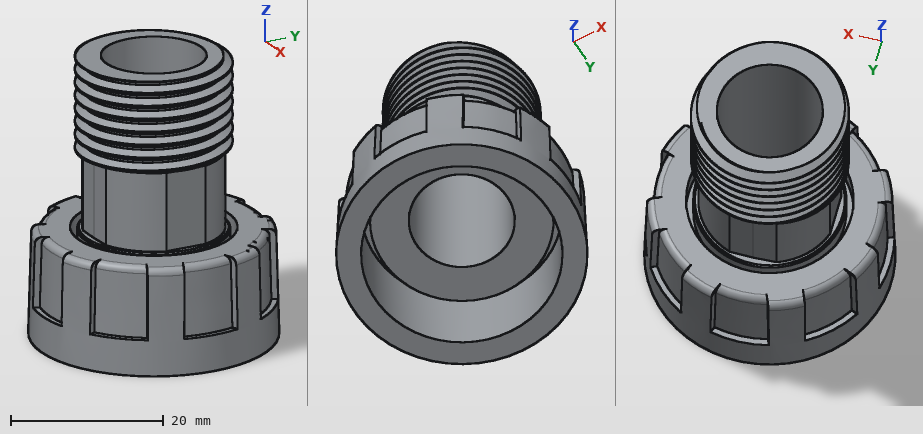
import cadquery as cq
import math

NUT_DIAMETER = 32.98
NUT_HEIGHT = 14.85
NUT_DRAFT = 1.6
NUT_EDGE_RADIUS = 0.97
SKIRT_HEIGHT = 5.0
GRIP_COUNT = 8
GRIP_WIDTH = 4.8
GRIP_DEPTH = 0.9
NUT_HOLE_RADIUS = 11.0
NUT_ROOF_THICKNESS = 3.03
NUT_CAVITY_RADIUS = 13.2

TOTAL_HEIGHT = 38.85
BORE_RADIUS = 6.95
TUBE_RADIUS = 9.4
ACROSS_FLATS = 17.85
FLAT_DRAFT = 1.5
COLLAR_RADIUS = 10.05
COLLAR_CHAMFER = 0.25
FLANGE_RADIUS = 12.05
FLANGE_THICKNESS = 2.7

THREAD_START = 25.8
THREAD_TURNS = 7.2
THREAD_PITCH = (TOTAL_HEIGHT - THREAD_START) / THREAD_TURNS
THREAD_CREST_RADIUS = 10.37
THREAD_ROOT_RADIUS = 9.15
THREAD_CREST_WIDTH = 0.2
THREAD_ROOT_WIDTH = 0.35
RIDGE_EMBED = 0.1
CREST_HEIGHT_AT_X = 37.5
TURNS_BELOW = 7
TURNS_ABOVE = 2

FLANGE_TOP = NUT_HEIGHT - NUT_ROOF_THICKNESS


def tube(outer_radius, inner_radius, bottom, top):
    """Plain tube on the Z axis."""
    section = cq.Workplane("XY", origin=(0, 0, bottom)).circle(outer_radius).circle(inner_radius)
    return section.extrude(top - bottom)


def drafted_round(bottom_radius):
    """Full-height drafted round body with a rounded top edge."""
    top_radius = bottom_radius - NUT_HEIGHT * math.tan(math.radians(NUT_DRAFT))
    profile = (
        cq.Workplane("XZ")
        .lineTo(bottom_radius, 0)
        .lineTo(top_radius, NUT_HEIGHT)
        .lineTo(0, NUT_HEIGHT)
        .close()
    )
    return profile.revolve(360, (0, 0, 0), (0, 1, 0)).faces(">Z").edges().fillet(NUT_EDGE_RADIUS)


def make_nut():
    """Nut with a skirt, parallel-sided grips and a roof with a clearance hole."""
    envelope = drafted_round(NUT_DIAMETER / 2)
    wall = drafted_round(NUT_DIAMETER / 2 - GRIP_DEPTH)

    raised = cq.Workplane("XY").circle(NUT_DIAMETER).extrude(SKIRT_HEIGHT)
    for index in range(GRIP_COUNT):
        angle = (index + 0.5) * 360 / GRIP_COUNT
        grip = cq.Workplane("XY").rect(NUT_DIAMETER, GRIP_WIDTH).extrude(NUT_HEIGHT)
        grip = grip.translate((NUT_DIAMETER / 2, 0, 0))
        raised = raised.union(grip.rotate((0, 0, 0), (0, 0, 1), angle))

    hole = cq.Workplane("XY").circle(NUT_HOLE_RADIUS).extrude(NUT_HEIGHT)
    cavity = cq.Workplane("XY").circle(NUT_CAVITY_RADIUS).extrude(FLANGE_TOP)
    return wall.union(envelope.intersect(raised)).cut(hole).cut(cavity)


def make_thread():
    """Threaded sleeve: a helical ridge on a core, cut square at both ends."""
    half_crest = THREAD_CREST_WIDTH / 2
    half_root = (THREAD_PITCH - THREAD_ROOT_WIDTH) / 2
    flank_slope = (half_root - half_crest) / (THREAD_CREST_RADIUS - THREAD_ROOT_RADIUS)
    half_base = half_root + RIDGE_EMBED * flank_slope
    inner_radius = THREAD_ROOT_RADIUS - RIDGE_EMBED
    helix_start = CREST_HEIGHT_AT_X - TURNS_BELOW * THREAD_PITCH
    helix_length = (TURNS_BELOW + TURNS_ABOVE) * THREAD_PITCH

    helix = cq.Wire.makeHelix(THREAD_PITCH, helix_length, THREAD_ROOT_RADIUS)
    ridge = (
        cq.Workplane("XZ")
        .polyline([
            (inner_radius, -half_base),
            (THREAD_CREST_RADIUS, -half_crest),
            (THREAD_CREST_RADIUS, half_crest),
            (inner_radius, half_base),
        ])
        .close()
        .sweep(cq.Workplane(helix), isFrenet=True)
        .translate((0, 0, helix_start))
    )

    span = tube(2 * THREAD_CREST_RADIUS, BORE_RADIUS, THREAD_START, TOTAL_HEIGHT)
    core = tube(THREAD_ROOT_RADIUS, BORE_RADIUS, THREAD_START, TOTAL_HEIGHT)
    core = core.rotate((0, 0, 0), (0, 0, 1), 180)
    return core.union(ridge.intersect(span))


def make_flats_envelope():
    """Near-square prism whose sides are the four wrench flats."""
    half_across = ACROSS_FLATS / 2
    corner_y = half_across * (1 - math.tan(math.radians(FLAT_DRAFT)))
    outline = cq.Workplane("XY").polyline([
        (half_across, -corner_y),
        (half_across, corner_y),
        (0, half_across),
        (-half_across, corner_y),
        (-half_across, -corner_y),
        (0, -half_across),
    ])
    return outline.close().extrude(TOTAL_HEIGHT)


def make_tailpiece():
    """Flange, collar, tube with four wrench flats and the threaded end."""
    flange_bottom = FLANGE_TOP - FLANGE_THICKNESS
    flange = tube(FLANGE_RADIUS, BORE_RADIUS, flange_bottom, FLANGE_TOP)
    collar = tube(COLLAR_RADIUS, BORE_RADIUS, flange_bottom, NUT_HEIGHT)
    collar_rim = collar.faces(">Z").edges(cq.selectors.RadiusNthSelector(-1))
    collar = collar_rim.chamfer(COLLAR_CHAMFER)

    stem = tube(TUBE_RADIUS, BORE_RADIUS, flange_bottom, THREAD_START).intersect(make_flats_envelope())
    return flange.union(collar).union(stem).union(make_thread())


nut = make_nut()
tailpiece = make_tailpiece()
result = cq.Compound.makeCompound([nut.solids().val(), tailpiece.solids().val()])